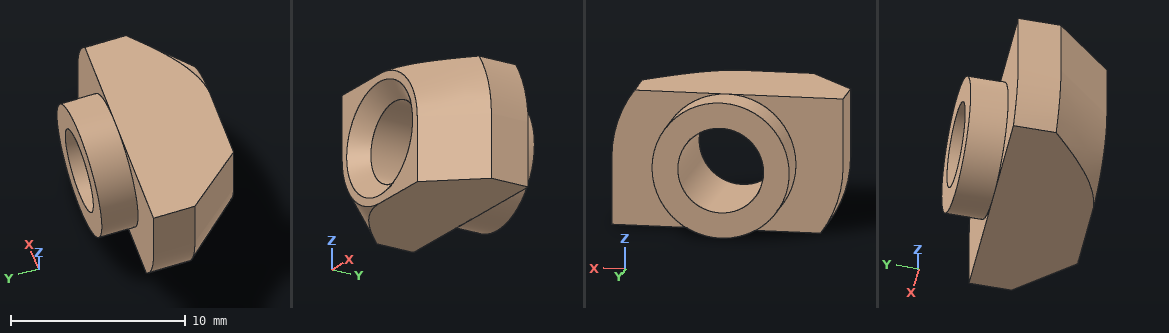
import cadquery as cq

length = 13.5
height = 8.0
depth = 8.0
boss_length = 2.2
taper_depth = 3.3
bore_diameter = 5.0
countersink_diameter = 7.0
countersink_angle = 90.0

half_length = length / 2
half_height = height / 2
boss_radius = height / 2
front_half_width = height / 2
body_depth = depth - boss_length


def half_profile():
    """Half outline in XY: tapered towards the front, straight at the back."""
    return cq.Workplane("XY").polyline([
        (0, 0),
        (front_half_width, 0),
        (half_length, taper_depth),
        (half_length, body_depth),
        (0, body_depth),
    ]).close()


def square_quadrant():
    """Lower right quarter with a square corner and a flat sloping side."""
    return half_profile().extrude(-half_height)


def round_quadrant():
    """Upper right quarter, conical then cylindrical, cut flat at the top."""
    turned = half_profile().revolve(360, (0, 0), (0, 1))
    quarter = cq.Workplane("XY").box(
        half_length, body_depth, half_height, centered=False
    )
    return turned.intersect(quarter)


right_half = square_quadrant().union(round_quadrant())
left_half = right_half.rotate((0, 0, 0), (0, 1, 0), 180)
body = right_half.union(left_half)

boss = (
    cq.Workplane("XZ", origin=(0, body_depth, 0))
    .circle(boss_radius)
    .extrude(-boss_length)
)

result = (
    body.union(boss)
    .copyWorkplane(cq.Workplane("XZ"))
    .cskHole(bore_diameter, countersink_diameter, countersink_angle)
)